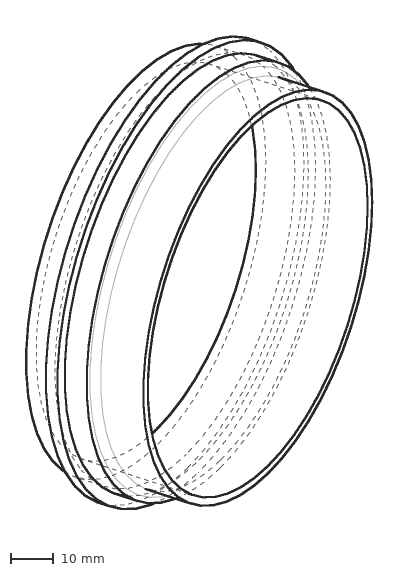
import cadquery as cq

bore_diameter = 97.4
tail_diameter = 101.6
spigot_diameter = 106.4
shoulder_diameter = 108.1
flange_diameter = 114.5

spigot_length = 8.0
flange_thickness = 3.2
shoulder_length = 6.1
fillet_radius = 1.8
total_length = 30.9

flange_end = spigot_length + flange_thickness
shoulder_end = flange_end + shoulder_length
tail_length = total_length - shoulder_end


def cylinder(start, length, diameter):
    """Solid cylinder along +X from the given X position."""
    return cq.Workplane("YZ", origin=(start, 0, 0)).circle(diameter / 2).extrude(length)


body = cylinder(0, spigot_length, spigot_diameter)
body = body.union(cylinder(spigot_length, flange_thickness, flange_diameter))
body = body.union(cylinder(flange_end, shoulder_length, shoulder_diameter))
body = body.union(cylinder(shoulder_end, tail_length, tail_diameter))

tail_radius = tail_diameter / 2
fillet_profile = (
    cq.Workplane("XY")
    .moveTo(shoulder_end, tail_radius)
    .lineTo(shoulder_end, tail_radius + fillet_radius)
    .radiusArc((shoulder_end + fillet_radius, tail_radius), -fillet_radius)
    .lineTo(shoulder_end + fillet_radius, bore_diameter / 2)
    .lineTo(shoulder_end, bore_diameter / 2)
    .close()
)
body = body.union(fillet_profile.revolve(360, (0, 0, 0), (1, 0, 0)))

result = body.cut(cylinder(0, total_length, bore_diameter))